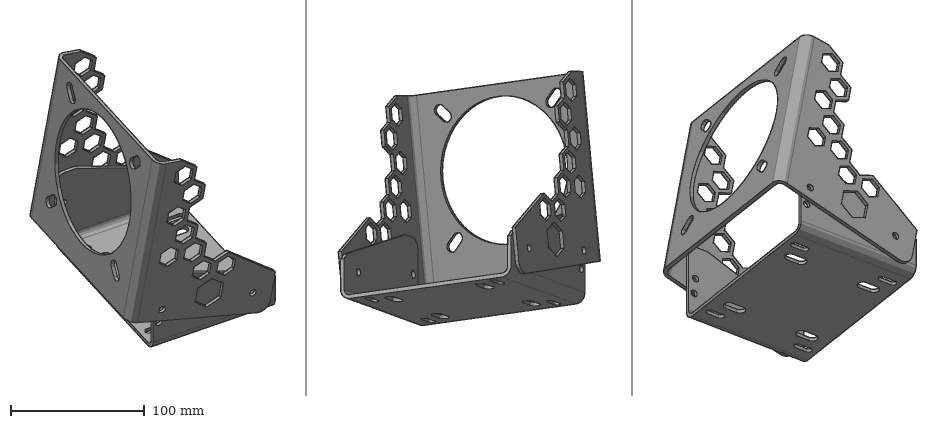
import cadquery as cq
import math


THICKNESS = 3.0
OUTER_BEND = 8.0
INNER_BEND = OUTER_BEND - THICKNESS
HOLDER_WIDTH = 156.0
BASE_WIDTH = HOLDER_WIDTH - 2 * THICKNESS
SCREW_DIAMETER = 5.5
SCREW_SPACING = 79.0
PIVOT_HEIGHT = 25.0
TILT = 10.0

BASE_DEPTH = 105.0
BASE_REAR = -20.9
BASE_FRONT = BASE_REAR + BASE_DEPTH
BASE_BOTTOM = -PIVOT_HEIGHT
BASE_HEIGHT = 66.9
BASE_TOP = BASE_BOTTOM + BASE_HEIGHT
BASE_TOP_SLOPE = 20.5
BASE_SLOPE_LENGTH = 87.6
BASE_TOP_PEAK = BASE_REAR + BASE_SLOPE_LENGTH
BASE_PEAK_RADIUS = 7.0
BASE_REAR_CHAMFER = 5.0
BASE_FRONT_RADIUS = 8.0
SMALL_SLOT = (15.5, 5.5)
SMALL_SLOT_PITCH = (110.4, 80.0)
LARGE_SLOT = (18.5, 8.5)
LARGE_SLOT_PITCH = (80.0, 66.0)

PLATE_FRONT = 107.08
HOLDER_TOP = 135.24
FRONT_BOTTOM = -7.1
HOLDER_REAR = -17.0
FLANGE_BOTTOM_SLOPE = 6.1
FLANGE_CORNER_RADIUS = 9.5
FAN_OPENING = 111.0
FAN_CENTRE_V = 70.3
FAN_SLOT = (16.3, 8.5)
FAN_SLOT_PITCH = 97.3

HEX_FLATS = 15.0
CELL_FLATS = 21.0
CELL_RADIUS = CELL_FLATS / math.sqrt(3)
COLUMN_PITCH = 21.2
ROW_PITCH = 1.5 * CELL_RADIUS
TOP_HEX = (81.65, 120.75)
HEX_CELLS = [(0, 0), (-0.5, 1), (0, 2), (-0.5, 3), (0, 4), (-1, 4), (-1.5, 5), (-2.5, 5)]
BIG_HEX_FLATS = 22.3
BIG_HEX_CENTRE = (39.3, 7.5)


def side_plane():
    """Workplane facing -X with its origin on the pivot axis and (u, v) as its local axes."""
    return cq.Workplane(cq.Plane(origin=(0, 0, PIVOT_HEIGHT), xDir=(0, -1, 0), normal=(-1, 0, 0)))


def across_width(sketch):
    """Extrude a side sketch through the full width of both brackets."""
    return sketch.extrude(HOLDER_WIDTH, both=True)


def screw_holes(points):
    return across_width(side_plane().pushPoints(points).circle(SCREW_DIAMETER / 2))


def hexagons(points, flats):
    """Point-up hexagonal cutters of the given width across flats."""
    corner_diameter = 2 * flats / math.sqrt(3)
    turned_plane = side_plane().transformed(rotate=(0, 0, 90))
    turned_points = [(v, -u) for u, v in points]
    return across_width(turned_plane.pushPoints(turned_points).polygon(6, corner_diameter))


def channel(width):
    """Long U-channel along Z: web outer face on Y = 0, legs running to +Y."""
    depth = 2 * HOLDER_WIDTH
    length = 4 * HOLDER_WIDTH
    outer = (
        cq.Workplane("XY").box(width, depth, length, centered=(True, False, True))
        .edges("|Z and <Y").fillet(OUTER_BEND)
    )
    inner = (
        cq.Workplane("XY").box(width - 2 * THICKNESS, depth, length, centered=(True, False, True))
        .edges("|Z and <Y").fillet(INNER_BEND)
        .translate((0, THICKNESS, 0))
    )
    return outer.cut(inner)


def base_side_profile():
    slope = math.tan(math.radians(BASE_TOP_SLOPE))
    chamfer_u = BASE_REAR + BASE_REAR_CHAMFER
    chamfer_v = BASE_TOP - (BASE_TOP_PEAK - chamfer_u) * slope
    outline = side_plane().polyline([
        (BASE_REAR, BASE_BOTTOM),
        (BASE_FRONT, BASE_BOTTOM),
        (BASE_FRONT, BASE_TOP),
        (BASE_TOP_PEAK, BASE_TOP),
        (chamfer_u, chamfer_v),
        (BASE_REAR, chamfer_v - BASE_REAR_CHAMFER),
    ]).close()
    return (
        across_width(outline)
        .edges(cq.NearestToPointSelector((0, -BASE_FRONT, BASE_HEIGHT))).fillet(BASE_FRONT_RADIUS)
        .edges(cq.NearestToPointSelector((0, -BASE_TOP_PEAK, BASE_HEIGHT))).fillet(BASE_PEAK_RADIUS)
    )


def base_floor_slots(size, pitch):
    """Four slots, long in Y, around the middle of the floor."""
    middle = -(BASE_REAR + BASE_FRONT) / 2
    return (
        cq.Workplane("XY").center(0, middle)
        .rarray(*pitch, 2, 2).slot2D(*size, angle=90).extrude(THICKNESS)
    )


def make_base():
    tilt = math.radians(TILT)
    holes = [
        (0, 0),
        (SCREW_SPACING, 0),
        (SCREW_SPACING * math.cos(tilt), SCREW_SPACING * math.sin(tilt)),
    ]
    floor_down = channel(BASE_WIDTH).rotate((0, 0, 0), (1, 0, 0), 90)
    return (
        floor_down.intersect(base_side_profile())
        .cut(base_floor_slots(SMALL_SLOT, SMALL_SLOT_PITCH))
        .cut(base_floor_slots(LARGE_SLOT, LARGE_SLOT_PITCH))
        .cut(screw_holes(holes))
    )


def hex_centre(column, row):
    return TOP_HEX[0] + column * COLUMN_PITCH, TOP_HEX[1] - row * ROW_PITCH


def cell_corner(cell, angle):
    """Corner of the honeycomb cell around a hexagon, at the given angle in degrees."""
    u, v = hex_centre(*cell)
    turn = math.radians(angle)
    return u + CELL_RADIUS * math.cos(turn), v + CELL_RADIUS * math.sin(turn)


def holder_side_profile():
    rise_30 = math.tan(math.radians(30))
    bottom_drop = (PLATE_FRONT - HOLDER_REAR) * math.tan(math.radians(FLANGE_BOTTOM_SLOPE))
    rear_bottom_v = FRONT_BOTTOM - bottom_drop

    top_u, top_v = cell_corner((0, 0), 150)
    last_u, last_v = cell_corner(HEX_CELLS[-1], 90)
    outline = [
        (PLATE_FRONT, FRONT_BOTTOM),
        (PLATE_FRONT, HOLDER_TOP),
        (top_u + (HOLDER_TOP - top_v) / rise_30, HOLDER_TOP),
        (top_u, top_v),
        cell_corner((0, 0), 210),
        cell_corner((-0.5, 1), 150),
        cell_corner((-0.5, 1), 210),
        cell_corner((-0.5, 1), 270),
        cell_corner((0, 2), 210),
        cell_corner((-0.5, 3), 150),
        cell_corner((-0.5, 3), 210),
        cell_corner((-1, 4), 150),
        cell_corner((-1, 4), 210),
        cell_corner((-1.5, 5), 150),
        (last_u, last_v),
        (HOLDER_REAR, last_v - (last_u - HOLDER_REAR) * rise_30),
        (HOLDER_REAR, rear_bottom_v),
    ]
    rear_corner = cq.NearestToPointSelector((0, -HOLDER_REAR, PIVOT_HEIGHT + rear_bottom_v))
    return across_width(side_plane().polyline(outline).close()).edges(rear_corner).fillet(FLANGE_CORNER_RADIUS)


def fan_cutouts():
    """Round fan opening with a diagonal mounting slot at each corner."""
    centre = (0, -PLATE_FRONT, PIVOT_HEIGHT + FAN_CENTRE_V)
    plate_face = cq.Plane(origin=centre, xDir=(1, 0, 0), normal=(0, -1, 0))
    cutouts = cq.Workplane(plate_face).circle(FAN_OPENING / 2).extrude(-THICKNESS)
    for side in (-1, 1):
        for level in (-1, 1):
            slot = (
                cq.Workplane(plate_face)
                .center(side * FAN_SLOT_PITCH / 2, level * FAN_SLOT_PITCH / 2)
                .slot2D(*FAN_SLOT, angle=45 * side * level).extrude(-THICKNESS)
            )
            cutouts = cutouts.union(slot)
    return cutouts


def make_holder():
    hex_points = [hex_centre(*cell) for cell in HEX_CELLS]
    upright = (
        channel(HOLDER_WIDTH).translate((0, -PLATE_FRONT, 0))
        .intersect(holder_side_profile())
        .cut(fan_cutouts())
        .cut(hexagons(hex_points, HEX_FLATS))
        .cut(hexagons([BIG_HEX_CENTRE], BIG_HEX_FLATS))
        .cut(screw_holes([(0, 0), (SCREW_SPACING, 0)]))
    )
    return upright.rotate((0, 0, PIVOT_HEIGHT), (1, 0, PIVOT_HEIGHT), -TILT)


base = make_base()
holder = make_holder()
result = cq.Compound.makeCompound([base.val(), holder.val()])